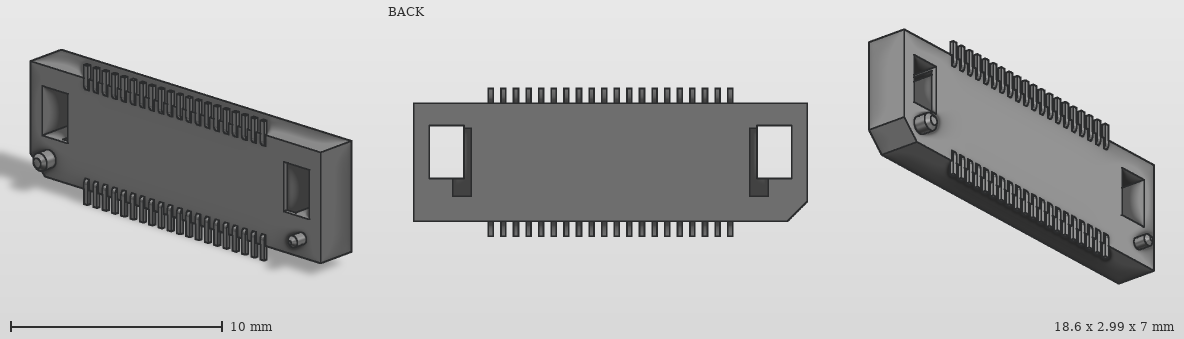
import cadquery as cq
import math

body_length = 18.6
body_depth = 2.15
body_height = 5.58
corner_chamfer = 0.95

window_width = 1.64
window_height = 2.5
window_end_margin = 0.75
window_top_margin = 1.06

pocket_width = 0.87
pocket_height = 3.2
pocket_window_overlap = 0.54
pocket_floor = 0.26

peg_length = 0.84
peg_tip_chamfer = 0.2
peg_bottom_margin = 0.97
large_peg_diameter = 0.9
large_peg_x = -8.11
small_peg_diameter = 0.6
small_peg_x = 8.1

leads_per_row = 20
lead_pitch = 0.6
lead_width = 0.25
lead_thickness = 0.2
lead_standoff = 0.11
lead_tip_z = 3.5
lead_root_z = 2.23
lead_bend_radius = 0.3


def box(x_min, x_max, y_min, y_max, z_min, z_max):
    size = (x_max - x_min, y_max - y_min, z_max - z_min)
    return cq.Workplane("XY").box(*size, centered=False).translate((x_min, y_min, z_min))


def make_housing():
    half_length = body_length / 2
    half_height = body_height / 2
    housing = box(-half_length, half_length, 0, body_depth, -half_height, half_height)
    return housing.edges("|Y and <X and <Z").chamfer(corner_chamfer)


def make_left_opening():
    window_left = -body_length / 2 + window_end_margin
    window_right = window_left + window_width
    window_top = body_height / 2 - window_top_margin
    window = box(window_left, window_right, 0, body_depth, window_top - window_height, window_top)
    pocket_left = window_right - pocket_window_overlap
    pocket = box(
        pocket_left, pocket_left + pocket_width,
        pocket_floor, body_depth,
        -pocket_height / 2, pocket_height / 2,
    )
    return window.union(pocket)


def make_peg(diameter, x):
    z = -body_height / 2 + peg_bottom_margin
    face = cq.Workplane("XZ", origin=(x, 0, z))
    return face.circle(diameter / 2).extrude(peg_length).faces("<Y").chamfer(peg_tip_chamfer)


def make_upper_lead(x):
    outer_y = -lead_standoff
    inner_y = outer_y + lead_thickness

    def arc_run(depth):
        return math.sqrt(lead_bend_radius**2 - (lead_bend_radius - depth) ** 2)

    bend_z = lead_root_z + arc_run(lead_standoff)
    mid_depth = lead_thickness / 2
    return (
        cq.Workplane("YZ", origin=(x - lead_width / 2, 0, 0))
        .moveTo(inner_y, lead_tip_z)
        .lineTo(outer_y, lead_tip_z)
        .lineTo(outer_y, bend_z)
        .threePointArc(
            (outer_y + mid_depth, bend_z - arc_run(mid_depth)),
            (inner_y, bend_z - arc_run(lead_thickness)),
        )
        .close()
        .extrude(lead_width)
    )


left_opening = make_left_opening()
result = make_housing().cut(left_opening).cut(left_opening.mirror("YZ"))

result = result.union(make_peg(large_peg_diameter, large_peg_x))
result = result.union(make_peg(small_peg_diameter, small_peg_x))

for index in range(leads_per_row):
    lead_x = (index - (leads_per_row - 1) / 2) * lead_pitch
    upper_lead = make_upper_lead(lead_x)
    result = result.union(upper_lead).union(upper_lead.mirror("XY"))